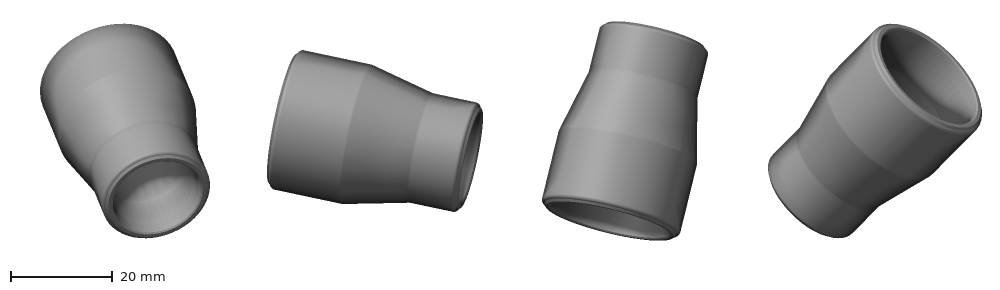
import cadquery as cq

length = 38.0
large_length = 15.0
small_length = 10.0
large_radius = 28.0 / 2
small_radius = 22.0 / 2
large_bore_radius = 24.0 / 2
small_bore_radius = 18.0 / 2

blend_radius = 1.15
joint_margin = 0.05

bevel_length = 0.45
bevel_height = 0.4
round_radius = 0.75
round_height = 0.57
round_length = (round_radius**2 - (round_radius - round_height) ** 2) ** 0.5
rim_length = bevel_length + round_length

mouth_chamfer = 0.25

cone_start = large_length
cone_end = length - small_length

bore_cone_start = small_length


def outer_body():
    """Revolved reducer with rounded rims and a cone between two cylinders."""
    large_round_start = large_radius - round_height
    small_round_start = small_radius - round_height
    profile = (
        cq.Workplane("XZ")
        .lineTo(0, large_round_start - bevel_height)
        .lineTo(bevel_length, large_round_start)
        .radiusArc((rim_length, large_radius), round_radius)
        .lineTo(cone_start, large_radius)
        .lineTo(cone_end, small_radius)
        .lineTo(length - rim_length, small_radius)
        .radiusArc((length - bevel_length, small_round_start), round_radius)
        .lineTo(length, small_round_start - bevel_height)
        .lineTo(length, 0)
        .close()
    )
    body = profile.revolve(360, (0, 0, 0), (1, 0, 0))
    for x in (cone_start, cone_end):
        joint = cq.selectors.BoxSelector(
            (x - joint_margin, -length, -length),
            (x + joint_margin, length, length),
        )
        body = body.edges(joint).edges("%CIRCLE").fillet(blend_radius)
    return body


def bore():
    """Stepless passage: two straight bores joined by a cone."""
    profile = (
        cq.Workplane("XZ")
        .lineTo(0, large_bore_radius + mouth_chamfer)
        .lineTo(mouth_chamfer, large_bore_radius)
        .lineTo(bore_cone_start, large_bore_radius)
        .lineTo(cone_end, small_bore_radius)
        .lineTo(length - mouth_chamfer, small_bore_radius)
        .lineTo(length, small_bore_radius + mouth_chamfer)
        .lineTo(length, 0)
        .close()
    )
    return profile.revolve(360, (0, 0, 0), (1, 0, 0))


result = outer_body().cut(bore())